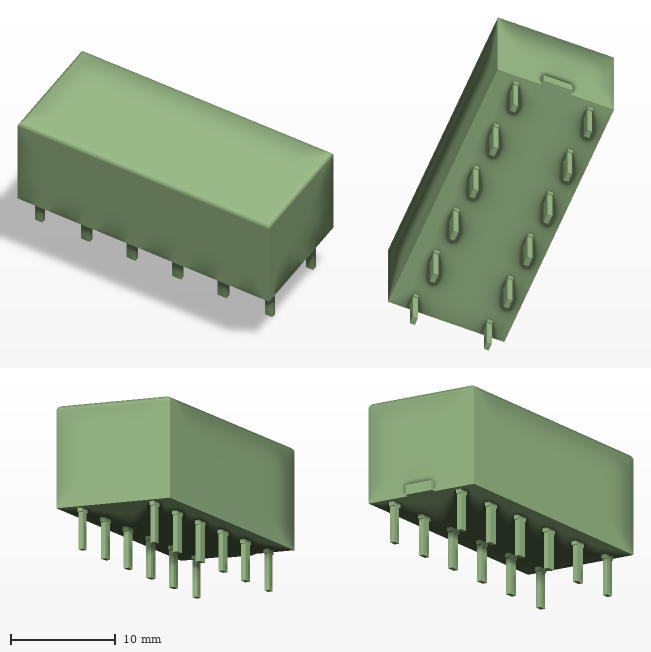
import cadquery as cq

body_length = 28.0
body_width = 12.0
body_height = 10.0
top_edge_radius = 0.5

tab_projection = 0.5
tab_width = 3.0
tab_height = 1.0

pin_pitch = 5.08
row_spacing = 7.62
pin_length = 4.0
pin_thickness = 0.5
shoulder_height = 0.4
shoulder_step = 0.2

inner_pin_width = 1.0
inner_pin_positions = [-1.5 * pin_pitch, -0.5 * pin_pitch, 0.5 * pin_pitch, 1.5 * pin_pitch]

end_pin_width = 0.8
end_pin_offset = 12.8
end_pin_positions = [-end_pin_offset, end_pin_offset]


def make_housing():
    block = cq.Workplane("XY").box(body_length, body_width, body_height, centered=(True, True, False))
    return block.faces(">Z").edges().fillet(top_edge_radius)


def make_tab():
    tab = cq.Workplane("XY").box(tab_projection, tab_width, tab_height, centered=(False, True, False))
    return tab.translate((-body_length / 2 - tab_projection, 0, 0))


def make_pins(x_positions, pin_width):
    """Pins and their shoulders at the given X positions, in both rows."""
    centres = [(x, side * row_spacing / 2) for x in x_positions for side in (-1, 1)]
    shoulder_width = pin_width + 2 * shoulder_step
    plane = cq.Workplane("XY").pushPoints(centres)
    blades = plane.rect(pin_width, pin_thickness).extrude(-pin_length)
    shoulders = plane.rect(shoulder_width, pin_thickness).extrude(-shoulder_height)
    return blades.union(shoulders)


result = (
    make_housing()
    .union(make_tab())
    .union(make_pins(inner_pin_positions, inner_pin_width))
    .union(make_pins(end_pin_positions, end_pin_width))
)